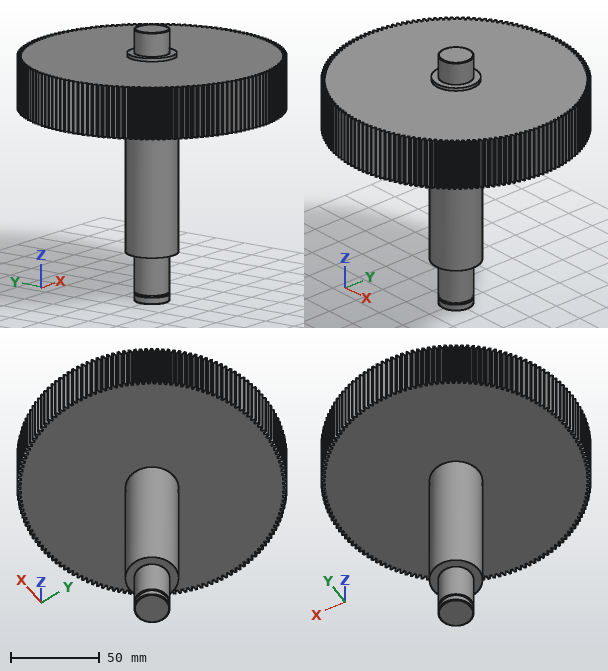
import cadquery as cq
import math

total_length = 157.8
lower_journal_length = 28.2
body_length = 83.8
gear_width = 30.0
upper_journal_length = 13.9

body_bottom = lower_journal_length
gear_bottom = body_bottom + body_length
upper_journal_bottom = total_length - upper_journal_length

journal_diameter = 20.0
body_diameter = 30.0
gear_seat_diameter = 28.0
end_chamfer = 0.5

groove_diameter = 18.3
groove_bottom = 4.0
groove_width = 1.1

tooth_count = 150
outer_diameter = 152.0
gear_module = outer_diameter / (tooth_count + 2)
pressure_angle = math.radians(20)
dedendum_factor = 1.1
outer_radius = outer_diameter / 2
pitch_radius = gear_module * tooth_count / 2
root_radius = pitch_radius - dedendum_factor * gear_module
first_tooth_angle = math.pi / 2


def shaft_section(diameter, bottom, top):
    """Cylinder on the Z axis between two heights."""
    return cq.Workplane("XY").workplane(offset=bottom).circle(diameter / 2).extrude(top - bottom)


def make_shaft():
    """Stepped shaft with chamfered ends and a retaining ring groove."""
    lower_journal = shaft_section(journal_diameter, 0, body_bottom).faces("<Z").chamfer(end_chamfer)
    body = shaft_section(body_diameter, body_bottom, gear_bottom)
    gear_seat = shaft_section(gear_seat_diameter, gear_bottom, upper_journal_bottom)
    upper_journal = shaft_section(journal_diameter, upper_journal_bottom, total_length)
    upper_journal = upper_journal.faces(">Z").chamfer(end_chamfer)
    groove_top = groove_bottom + groove_width
    groove_core = shaft_section(groove_diameter, groove_bottom, groove_top)
    groove = shaft_section(journal_diameter, groove_bottom, groove_top).cut(groove_core)
    return lower_journal.union(body).union(gear_seat).union(upper_journal).cut(groove)


def polar_point(radius, angle):
    return (radius * math.cos(angle), radius * math.sin(angle))


def tooth_half_angle(radius):
    """Half of the angle a straight-flanked tooth spans at the given radius."""
    half_thickness_at_pitch = math.pi * gear_module / 4
    half_thickness = half_thickness_at_pitch - (radius - pitch_radius) * math.tan(pressure_angle)
    return half_thickness / radius


def make_gear():
    """Spur gear with straight-flanked teeth and a bore that fits the gear seat."""
    pitch_angle = 2 * math.pi / tooth_count
    root_half_angle = tooth_half_angle(root_radius)
    tip_half_angle = tooth_half_angle(outer_radius)

    outline = cq.Workplane("XY").workplane(offset=gear_bottom)
    outline = outline.moveTo(*polar_point(root_radius, first_tooth_angle - root_half_angle))
    for tooth in range(tooth_count):
        angle = first_tooth_angle + tooth * pitch_angle
        outline = outline.lineTo(*polar_point(outer_radius, angle - tip_half_angle))
        outline = outline.threePointArc(
            polar_point(outer_radius, angle),
            polar_point(outer_radius, angle + tip_half_angle),
        )
        outline = outline.lineTo(*polar_point(root_radius, angle + root_half_angle))
        outline = outline.threePointArc(
            polar_point(root_radius, angle + pitch_angle / 2),
            polar_point(root_radius, angle + pitch_angle - root_half_angle),
        )
    blank = outline.close().extrude(gear_width)
    bore = shaft_section(gear_seat_diameter, gear_bottom, gear_bottom + gear_width)
    return blank.cut(bore)


shaft = make_shaft()
gear = make_gear()

result = cq.Compound.makeCompound([shaft.val(), gear.val()])